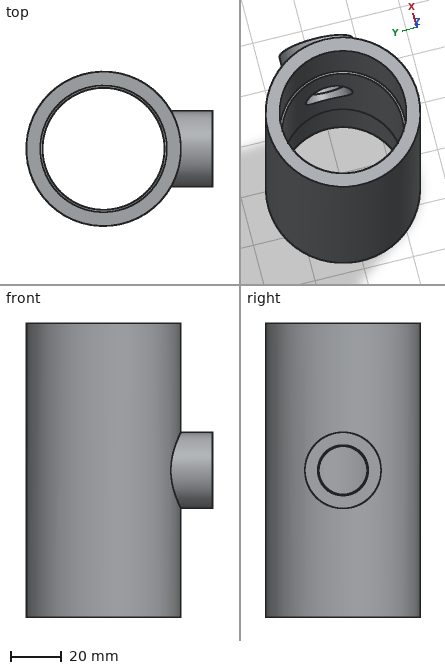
import cadquery as cq

body_length = 116.0
body_diameter = 61.0
body_socket_diameter = 50.0
body_bore_diameter = 48.0
body_socket_depth = 31.0

branch_diameter = 30.0
branch_socket_diameter = 20.0
branch_bore_diameter = 19.0
branch_projection = 12.5
branch_socket_depth = 16.0

branch_reach = body_diameter / 2 + branch_projection


def upright_cylinder(diameter, bottom, height):
    """Cylinder on the Z axis, rising from the given level."""
    return cq.Workplane("XY").workplane(offset=bottom).circle(diameter / 2).extrude(height)


def branch_cylinder(diameter, start, length):
    """Cylinder on the X axis, running outward from the given distance."""
    return cq.Workplane("YZ").workplane(offset=start).circle(diameter / 2).extrude(length)


bottom_face = -body_length / 2
body = upright_cylinder(body_diameter, bottom_face, body_length)
tee = body.union(branch_cylinder(branch_diameter, 0, branch_reach))

tee = tee.cut(upright_cylinder(body_bore_diameter, bottom_face, body_length))
top_socket_floor = body_length / 2 - body_socket_depth
for socket_bottom in (bottom_face, top_socket_floor):
    tee = tee.cut(upright_cylinder(body_socket_diameter, socket_bottom, body_socket_depth))

tee = tee.cut(branch_cylinder(branch_bore_diameter, 0, branch_reach))
branch_socket_floor = branch_reach - branch_socket_depth
tee = tee.cut(branch_cylinder(branch_socket_diameter, branch_socket_floor, branch_socket_depth))

result = tee